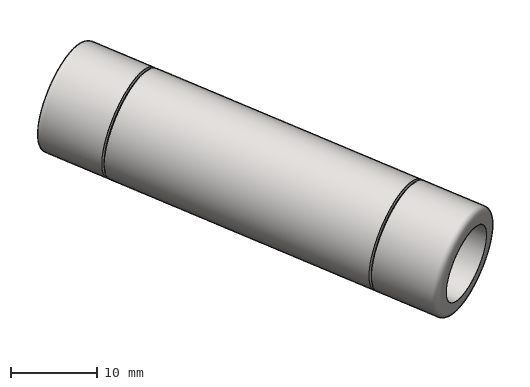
import cadquery as cq
import math

length = 53.0
outer_diameter = 14.0
bore_diameter = 9.8
end_fillet = 0.7
groove_distance = 17.6
groove_width = 0.3
groove_angle = 60.0

outer_radius = outer_diameter / 2
bore_radius = bore_diameter / 2
half_length = length / 2
groove_depth = groove_width / 2 / math.tan(math.radians(groove_angle / 2))


def rounded_tube():
    """Tube along X with its outer rims rounded and a straight through bore."""
    body = cq.Workplane("YZ").circle(outer_radius).extrude(half_length, both=True)
    body = body.faces("<X or >X").edges().fillet(end_fillet)
    bore = cq.Workplane("YZ").circle(bore_radius).extrude(half_length, both=True)
    return body.cut(bore)


def v_groove(center_x):
    """Ring with a triangular section, point inwards, removed to cut one V groove."""
    section = (
        cq.Workplane("XY")
        .moveTo(center_x - groove_width / 2, outer_radius)
        .lineTo(center_x, outer_radius - groove_depth)
        .lineTo(center_x + groove_width / 2, outer_radius)
        .close()
    )
    return section.revolve(360, (0, 0, 0), (1, 0, 0))


result = rounded_tube()
for groove_center in (-groove_distance, groove_distance):
    result = result.cut(v_groove(groove_center))